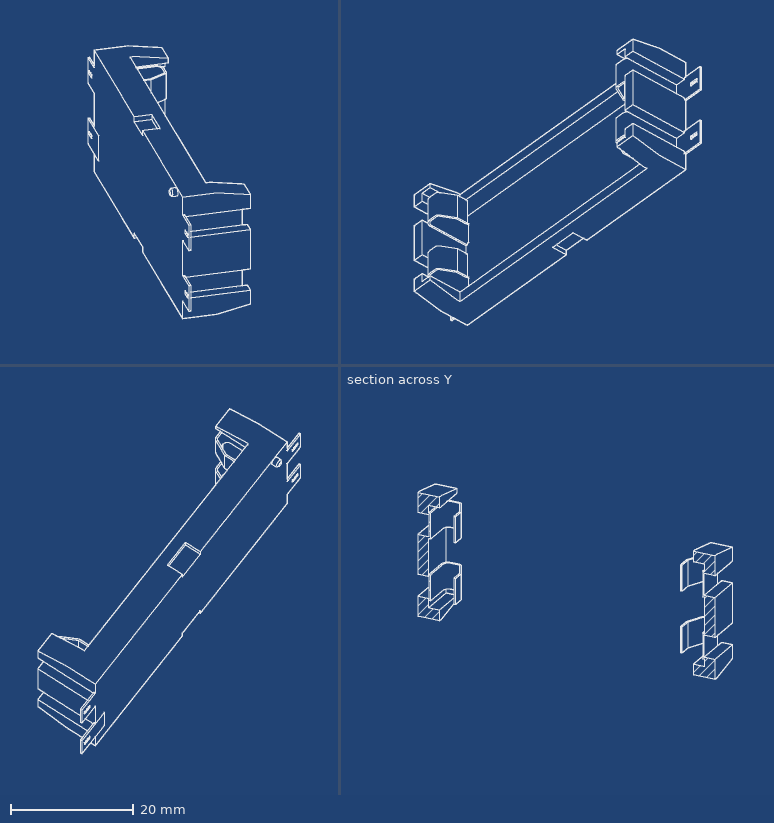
import cadquery as cq
import math

HOUSING_LENGTH = 54.4
HOUSING_HEIGHT = 22.4
HOUSING_DEPTH = 11.55
BASE_DEPTH = 5.0
TOWER_LENGTH = 3.95
WALL = 2.0
TAPER_START = 5.75
TAPER_RISE = 1.1

RECESS_LENGTH = 5.1
RECESS_WIDTH = 3.0
RECESS_DEPTH = 0.9

PEG_X = 23.5
PEG_TOP_GAP = 0.1
PEG_DIAMETER = 1.4
PEG_LENGTH = 1.2
PEG_CHAMFER = 0.3

OVERALL_LENGTH = 62
CONTACT_Z = 5.6
CONTACT_WIDTH = 4.7
SHEET = 0.3
SLOT_WIDTH = 3.9
SLOT_LENGTH = 2.6
EYE_LENGTH = 1.5
EYE_WIDTH = 0.6
EYE_TO_TIP = 0.8
CREST_GAP = 0.55
LEG_BEND_RADIUS = 1.1
SPRING_BEND_RADIUS = 0.55
SPRING_ANGLE = 63
SPRING_REACH = 6.45
SPRING_BEND_START = 4.6
SPRING_END = 5.7

housing_end = HOUSING_LENGTH / 2
cavity_height = HOUSING_HEIGHT - 2 * WALL
tip_x = OVERALL_LENGTH / 2


def box(x_range, y_range, z_range):
    """Box between two limits along each axis."""
    size = [high - low for low, high in (x_range, y_range, z_range)]
    corner = (x_range[0], y_range[0], z_range[0])
    return cq.Workplane("XY").box(*size, centered=False).translate(corner)


def make_shell():
    """Open-backed tray with a tapered tower at each end."""
    half_height = HOUSING_HEIGHT / 2
    back_half_height = half_height - TAPER_RISE
    section = [
        (0, -half_height),
        (TAPER_START, -half_height),
        (HOUSING_DEPTH, -back_half_height),
        (HOUSING_DEPTH, back_half_height),
        (TAPER_START, half_height),
        (0, half_height),
    ]
    block = cq.Workplane("YZ").polyline(section).close().extrude(housing_end, both=True)
    tower_inner_x = housing_end - TOWER_LENGTH
    between_towers = box(
        (-tower_inner_x, tower_inner_x),
        (BASE_DEPTH, HOUSING_DEPTH),
        (-half_height, half_height),
    )
    cavity_x = housing_end - WALL
    cavity = box(
        (-cavity_x, cavity_x),
        (WALL, HOUSING_DEPTH),
        (-cavity_height / 2, cavity_height / 2),
    )
    return block.cut(between_towers).cut(cavity)


def make_side_recess(side):
    """Cutter for the recess at the front edge of one long side."""
    outer_z = side * HOUSING_HEIGHT / 2
    inner_z = outer_z - side * RECESS_DEPTH
    return box(
        (-RECESS_LENGTH / 2, RECESS_LENGTH / 2),
        (0, RECESS_WIDTH),
        sorted((inner_z, outer_z)),
    )


def make_peg():
    """Chamfered peg on the front face."""
    peg_z = (HOUSING_HEIGHT - PEG_DIAMETER) / 2 - PEG_TOP_GAP
    peg = cq.Workplane("XZ").circle(PEG_DIAMETER / 2).extrude(PEG_LENGTH)
    return peg.faces("<Y").chamfer(PEG_CHAMFER).translate((PEG_X, 0, peg_z))


def place(shape, end, row):
    """Move a shape from the left end and middle height to one contact position."""
    if end > 0:
        shape = shape.mirror("YZ")
    return shape.translate((0, 0, row * CONTACT_Z))


def make_slot():
    """Cutter for the contact slot at the left end."""
    half_width = SLOT_WIDTH / 2
    through_wall = box(
        (-housing_end, -housing_end + WALL), (0, HOUSING_DEPTH), (-half_width, half_width)
    )
    through_floor = box(
        (-housing_end, -housing_end + SLOT_LENGTH), (0, WALL), (-half_width, half_width)
    )
    return through_wall.union(through_floor)


def make_tab():
    """Flat plate of the left contact, flush with the front face."""
    return box(
        (-tip_x, -housing_end + SLOT_LENGTH),
        (0, SHEET),
        (-CONTACT_WIDTH / 2, CONTACT_WIDTH / 2),
    )


def make_eye():
    """Cutter for the solder eye in the left tab."""
    eye_x = -tip_x + EYE_TO_TIP
    return box(
        (eye_x, eye_x + EYE_LENGTH), (0, SHEET), (-EYE_WIDTH / 2, EYE_WIDTH / 2)
    )


def make_spring():
    """Leg, rounded crest and spring arm of the left contact."""
    leg_x = -housing_end + WALL + SHEET / 2
    crest_y = HOUSING_DEPTH - CREST_GAP - SHEET / 2
    bend_x = -housing_end + SPRING_BEND_START
    tip_of_arm_x = -housing_end + SPRING_REACH
    slope = math.radians(SPRING_ANGLE)

    def on_spring_bend(angle):
        return (
            bend_x + SPRING_BEND_RADIUS * math.sin(angle),
            crest_y - SPRING_BEND_RADIUS * (1 - math.cos(angle)),
        )

    arm_start = on_spring_bend(slope)
    knee_y = arm_start[1] - (tip_of_arm_x - arm_start[0]) * math.tan(slope)
    path = (
        cq.Workplane("XY")
        .moveTo(leg_x, SHEET / 2)
        .lineTo(leg_x, crest_y - LEG_BEND_RADIUS)
        .tangentArcPoint((leg_x + LEG_BEND_RADIUS, crest_y), relative=False)
        .lineTo(bend_x, crest_y)
        .threePointArc(on_spring_bend(slope / 2), arm_start)
        .lineTo(tip_of_arm_x, knee_y)
        .lineTo(tip_of_arm_x, SPRING_END)
    )
    start = cq.Workplane("XZ", origin=(leg_x, SHEET / 2, 0))
    return start.rect(SHEET, CONTACT_WIDTH).sweep(path, transition="right")


def make_contact():
    """Complete contact at the left end."""
    return make_tab().cut(make_eye()).union(make_spring())


contact_shape = make_contact()

loose_contact = place(contact_shape, -1, -1)

housing = make_shell().union(make_peg())
for side in (-1, 1):
    housing = housing.cut(make_side_recess(side))
for end in (-1, 1):
    for row in (-1, 1):
        housing = housing.cut(place(make_slot(), end, row))
for end, row in ((-1, 1), (1, -1), (1, 1)):
    housing = housing.union(place(contact_shape, end, row))
housing = housing.cut(loose_contact)

result = cq.Compound.makeCompound([housing.solids().val(), loose_contact.solids().val()])